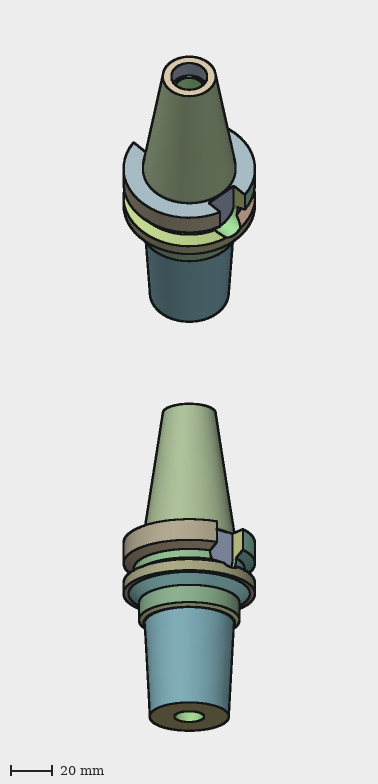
import cadquery as cq


total_height = 155.4
gauge_z = 90.0
flange_top_z = 89.0
groove_upper_edge_z = 78.5
groove_floor_top_z = 75.7
groove_floor_bottom_z = 71.3
groove_lower_edge_z = 68.5
flange_bottom_z = 63.0
collar_top_z = 58.3
collar_chamfer_z = 49.4
collar_bottom_z = 47.9

gauge_radius = 22.2
shank_taper = 7 / 24
shank_end_radius = gauge_radius - (total_height - gauge_z) * shank_taper / 2
flange_diameter = 63.0
flange_radius = flange_diameter / 2
groove_radius = 26.5
flange_cone_radius = 29.0
collar_radius = 24.1
collar_end_radius = 21.9
nose_top_radius = 21.5
nose_end_radius = 19.0

bore_radius = 7.1
counterbore_radius = 8.5
counterbore_depth = 9.0

slot_width = 16.2
slot_floor_x = 22.5
slot_bottom_z = 67.1


def holder_body():
    """Turned outer shape, revolved about Z."""
    outline = [
        (0, 0),
        (nose_end_radius, 0),
        (nose_top_radius, collar_bottom_z),
        (collar_end_radius, collar_bottom_z),
        (collar_radius, collar_chamfer_z),
        (collar_radius, collar_top_z),
        (flange_cone_radius, flange_bottom_z),
        (flange_radius, flange_bottom_z),
        (flange_radius, groove_lower_edge_z),
        (groove_radius, groove_floor_bottom_z),
        (groove_radius, groove_floor_top_z),
        (flange_radius, groove_upper_edge_z),
        (flange_radius, flange_top_z),
        (gauge_radius, flange_top_z),
        (gauge_radius, gauge_z),
        (shank_end_radius, total_height),
        (0, total_height),
    ]
    return cq.Workplane("XZ").polyline(outline).close().revolve(360, (0, 0, 0), (0, 1, 0))


def stepped_bore():
    """Through bore with a counterbore at the shank end."""
    bore = cq.Workplane("XY").circle(bore_radius).extrude(total_height)
    counterbore = (
        cq.Workplane("XY", origin=(0, 0, total_height - counterbore_depth))
        .circle(counterbore_radius)
        .extrude(counterbore_depth)
    )
    return bore.union(counterbore)


def drive_slot():
    """Round-bottomed slot on the +X side, open at the flange top and rim."""
    half_width = slot_width / 2
    arc_center_z = slot_bottom_z + half_width
    return (
        cq.Workplane("YZ", origin=(slot_floor_x, 0, 0))
        .moveTo(-half_width, flange_top_z)
        .lineTo(-half_width, arc_center_z)
        .threePointArc((0, slot_bottom_z), (half_width, arc_center_z))
        .lineTo(half_width, flange_top_z)
        .close()
        .extrude(flange_radius)
    )


result = holder_body().cut(stepped_bore())
for slot_angle in (0, 180):
    result = result.cut(drive_slot().rotate((0, 0, 0), (0, 0, 1), slot_angle))